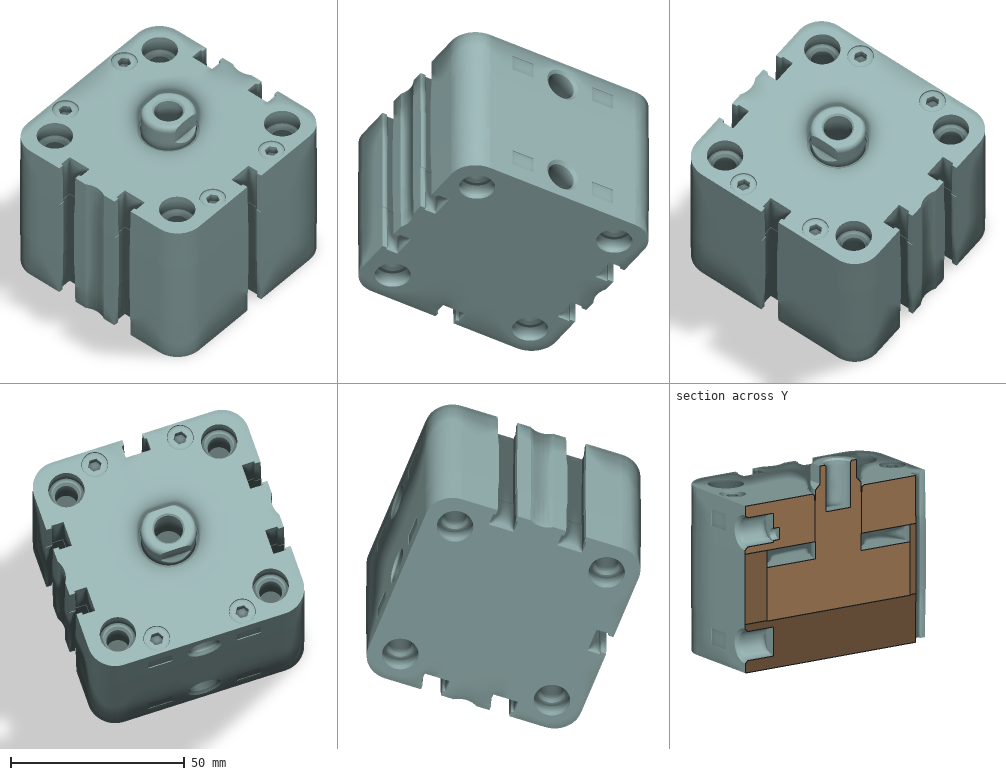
import cadquery as cq
import math

side = 65.5
corner_radius = 8.2
housing_height = 50.0
cover_height = 14.5
barrel_height = housing_height - 2 * cover_height
barrel_top = cover_height + barrel_height
cover_draft = 0.6
bore_dia = 50.0

cut_margin = 1.0

slot_pitch = 21.0
slot_depth = 5.3
slot_width = 7.0
lip_depth = 1.7
lip_opening = 5.5
lip_chamfer = 0.3
cover_slot_clearance = 0.15
groove_width = 6.84
groove_depth = 1.0

mount_pitch = 46.5
mount_counterbore_dia = 10.5
mount_counterbore_depth = 5.0
mount_thread_dia = 6.65
mount_thread_depth = cover_height - mount_counterbore_depth
mount_mouth_dia = 8.3

screw_spacing_x = 56.0
screw_spacing_y = 26.0
screw_hole_dia = 7.7
screw_head_dia = 7.5
screw_hole_depth = 4.5
screw_head_sink = 0.4
hex_across_flats = 3.5
hex_depth = 2.5

port_offset = 8.0
port_dia = 8.57
port_mouth_dia = 10.5
port_depth = 10.0
passage_dia = 3.5
passage_drop = 2.0
passage_length = 2.0

label_offset_y = 13.45
label_length = 7.2
label_height = 5.1
label_depth = 0.2

stroke = 5.0
piston_height = barrel_height - stroke
rod_dia = 16.0
rod_projection = 8.0
rod_top = housing_height + rod_projection
rod_round = 1.6
rod_flats = 13.0
rod_flat_length = 5.45
rod_thread_dia = 8.38
rod_thread_depth = 14.0
rod_thread_mouth_dia = 9.4

seat_dia = 17.7
seat_mouth_dia = 18.0
seat_depth = 0.3
rod_clearance_dia = 16.54
rod_clearance_depth = 2.0


def slot_section(clearance):
    """T-slot opening toward +X, its lips with small chamfers behind."""
    half_lip = lip_opening / 2 + clearance
    half_slot = slot_width / 2 + clearance
    face = side / 2
    floor = face - slot_depth - clearance
    lip_back = face - lip_depth
    upper = [
        (face + cut_margin, half_lip),
        (lip_back, half_lip),
        (lip_back - lip_chamfer, half_lip + lip_chamfer),
        (lip_back - lip_chamfer, half_slot),
        (floor, half_slot),
    ]
    lower = [(x, -y) for x, y in reversed(upper)]
    return cq.Sketch().polygon(upper + lower + upper[:1])


def housing_section(clearance=0.0):
    """Rounded square with five T-slots and two shallow round grooves."""
    groove_radius = ((groove_width / 2) ** 2 + groove_depth**2) / (2 * groove_depth)
    groove_center = side / 2 - groove_depth + groove_radius
    section = cq.Sketch().rect(side, side).vertices().fillet(corner_radius).reset()
    slot = slot_section(clearance)
    section = section.face(slot, mode="s")
    for angle in (90, -90):
        for shift in (-slot_pitch / 2, slot_pitch / 2):
            placed = slot.moved(cq.Location(cq.Vector(shift, 0, 0), cq.Vector(0, 0, 1), angle))
            section = section.face(placed, mode="s")
    return (
        section.push([(0, groove_center), (0, -groove_center)])
        .circle(groove_radius, mode="s")
        .reset()
        .clean()
    )


def cover_block():
    """Drafted cover, widest where it meets the barrel, with its outer face up."""
    return (
        cq.Workplane("XY")
        .workplane(offset=barrel_top)
        .placeSketch(housing_section(cover_slot_clearance))
        .extrude(cover_height, taper=cover_draft)
    )


def cylinder(diameter, top, depth):
    """Upright cylinder on the rod axis, reaching down from the given height."""
    return cq.Workplane("XY").workplane(offset=top).circle(diameter / 2).extrude(-depth)


def countersink(mouth_dia, hole_dia, top):
    """45 degree cone on the rod axis, narrowing downward from its mouth."""
    depth = (mouth_dia - hole_dia) / 2
    return (
        cq.Workplane("XY")
        .workplane(offset=top)
        .circle(mouth_dia / 2)
        .workplane(offset=-depth)
        .circle(hole_dia / 2)
        .loft(ruled=True)
    )


def copies(tool, spacing_x, spacing_y):
    """Four copies of a shape at the corners of a rectangle."""
    places = cq.Workplane("XY").rect(spacing_x, spacing_y, forConstruction=True).vertices()
    return places.eachpoint(lambda place: tool.val().moved(place))


def mounting_holes():
    """Counterbored corner holes with a countersunk thread bore below."""
    thread_top = housing_height - mount_counterbore_depth
    hole = (
        cylinder(mount_counterbore_dia, housing_height, mount_counterbore_depth)
        .union(cylinder(mount_thread_dia, thread_top, mount_thread_depth))
        .union(countersink(mount_mouth_dia, mount_thread_dia, thread_top))
    )
    return copies(hole, mount_pitch, mount_pitch)


def screw_recesses():
    """Ring gap around each sunk screw head, with its hexagon socket."""
    head_top = housing_height - screw_head_sink
    hex_corners_dia = hex_across_flats / math.cos(math.radians(30))
    socket = (
        cq.Workplane("XY")
        .workplane(offset=head_top)
        .transformed(rotate=(0, 0, 30))
        .polygon(6, hex_corners_dia)
        .extrude(-hex_depth)
    )
    recess = (
        cylinder(screw_hole_dia, housing_height, screw_hole_depth)
        .cut(cylinder(screw_head_dia, head_top, screw_hole_depth))
        .union(socket)
    )
    return copies(recess, screw_spacing_x, screw_spacing_y)


def port(height):
    """Countersunk air port, bored into the -X side at the given height."""
    bore = cylinder(port_dia, 0, port_depth).union(countersink(port_mouth_dia, port_dia, 0))
    return bore.rotate((0, 0, 0), (0, 1, 0), -90).translate((-side / 2, 0, height))


def label_recesses(height):
    """Two shallow rectangular recesses in the -X side, centred at the given height."""
    draft_shift = cover_height / 2 * math.tan(math.radians(cover_draft))
    return (
        cq.Workplane("YZ")
        .workplane(offset=-side / 2)
        .pushPoints([(-label_offset_y, height), (label_offset_y, height)])
        .rect(label_length, label_height)
        .extrude(label_depth + draft_shift)
    )


def make_top_cover():
    port_height = housing_height - port_offset
    passage = (
        cq.Workplane("YZ")
        .workplane(offset=-side / 2 + port_depth)
        .center(0, port_height - passage_drop)
        .circle(passage_dia / 2)
        .extrude(passage_length)
    )
    return (
        cover_block()
        .cut(mounting_holes())
        .cut(screw_recesses())
        .cut(port(port_height))
        .cut(passage)
        .cut(label_recesses(housing_height - cover_height / 2))
        .cut(cylinder(rod_dia, housing_height, cover_height))
        .cut(cylinder(rod_clearance_dia, housing_height, rod_clearance_depth))
        .cut(cylinder(seat_dia, housing_height, seat_depth))
        .cut(countersink(seat_mouth_dia, seat_dia, housing_height))
    )


def make_bottom_cover():
    middle = (0, 0, housing_height / 2)
    return (
        cover_block()
        .cut(mounting_holes())
        .mirror("XY", middle)
        .cut(port(port_offset))
        .cut(label_recesses(cover_height / 2))
    )


def make_barrel():
    block = (
        cq.Workplane("XY")
        .workplane(offset=cover_height)
        .placeSketch(housing_section())
        .extrude(barrel_height)
    )
    return block.cut(cylinder(bore_dia, barrel_top, barrel_height))


def make_piston_rod():
    """Rod with a piston in the barrel, wrench flats facing X and a threaded end."""
    rod = cylinder(rod_dia, rod_top, rod_top - cover_height).faces(">Z").edges().fillet(rod_round)
    half_flats = rod_flats / 2
    flat_bottom = rod_top - rod_flat_length
    outer = rod_dia / 2 + cut_margin
    flat_cut = (
        cq.Workplane("XZ")
        .moveTo(half_flats, rod_top + cut_margin)
        .lineTo(half_flats, flat_bottom)
        .lineTo(outer, flat_bottom - (outer - half_flats))
        .lineTo(outer, rod_top + cut_margin)
        .close()
        .extrude(outer, both=True)
    )
    return (
        rod.cut(flat_cut)
        .cut(flat_cut.mirror("YZ"))
        .cut(cylinder(rod_thread_dia, rod_top, rod_thread_depth))
        .cut(countersink(rod_thread_mouth_dia, rod_thread_dia, rod_top))
        .union(cylinder(bore_dia, cover_height + piston_height, piston_height))
    )


top_cover = make_top_cover()
barrel = make_barrel()
bottom_cover = make_bottom_cover()
piston_rod = make_piston_rod()

result = cq.Compound.makeCompound(
    [top_cover.val(), barrel.val(), bottom_cover.val(), piston_rod.val()]
)